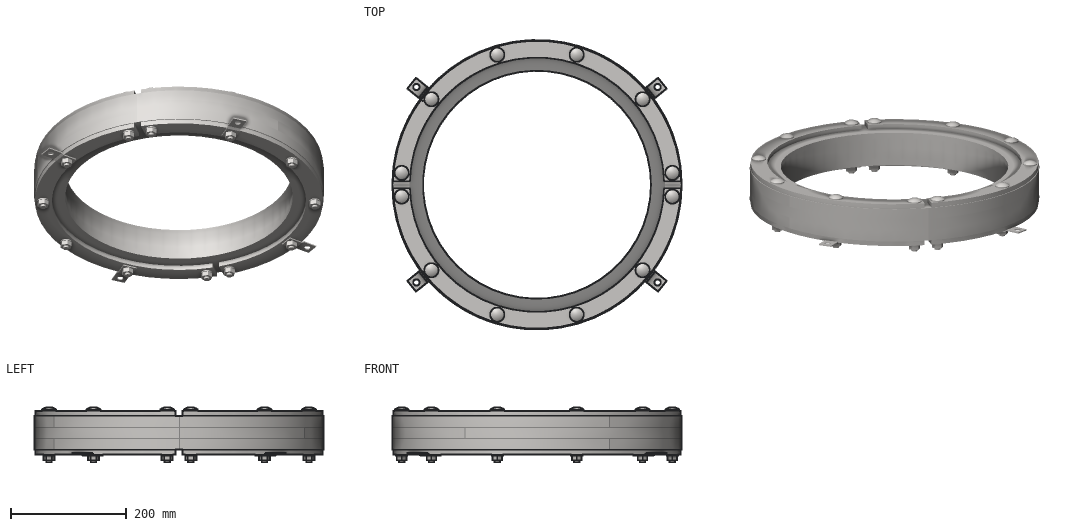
import cadquery as cq
import math

body_radius = 250.0
course_height = 19.5
course_joint_angles = [
    [0, 120, 180, 300],
    [0, 60, 180, 240],
    [0, 120, 180, 300],
]
body_height = course_height * len(course_joint_angles)

bore_radius = 196.5
strip_thickness = 1.0
strip_count = 23
block_inner_radius = bore_radius + strip_count * strip_thickness

clamp_radius = 248.5
clamp_thickness = 8.5
clamp_gap = 12.0
clamp_top = body_height + clamp_thickness
clamp_bottom = -clamp_thickness

bolt_circle_radius = 234.5
first_bolt_angle = 5
bolt_step = 34
bolts_per_half = 6
shank_diameter = 10.0
head_diameter = 24.5
head_rim_height = 2.0
head_height = 6.5
washer_diameter = 20.0
washer_thickness = 2.0
nut_width_across_flats = 17.0
nut_sides = 6
nut_height = 8.0
shank_projection = 13.5
shank_tip = clamp_bottom - shank_projection

tab_angle = first_bolt_angle + bolt_step
tab_angles = [tab_angle, 180 - tab_angle, 180 + tab_angle, 360 - tab_angle]
tab_width = 24.0
tab_thickness = washer_thickness
tab_inner_radius = 223.5
tab_outer_radius = 278.5
tab_joggle_start = 249.0
tab_joggle_length = 4.0
tab_joggle_rise = 3.0
tab_hole_diameter = 10.5
tab_hole_radius = 268.0


def ring(outer_radius, inner_radius, bottom, height):
    return (
        cq.Workplane("XY")
        .workplane(offset=bottom)
        .circle(outer_radius)
        .circle(inner_radius)
        .extrude(height)
    )


def polar_point(radius, angle):
    radians = math.radians(angle)
    return (radius * math.cos(radians), radius * math.sin(radians))


def block(start_angle, end_angle, bottom):
    """One curved block of a course."""
    middle_angle = (start_angle + end_angle) / 2
    return (
        cq.Workplane("XY")
        .workplane(offset=bottom)
        .moveTo(*polar_point(block_inner_radius, start_angle))
        .lineTo(*polar_point(body_radius, start_angle))
        .threePointArc(
            polar_point(body_radius, middle_angle),
            polar_point(body_radius, end_angle),
        )
        .lineTo(*polar_point(block_inner_radius, end_angle))
        .threePointArc(
            polar_point(block_inner_radius, middle_angle),
            polar_point(block_inner_radius, start_angle),
        )
        .close()
        .extrude(course_height)
    )


def course(bottom, joint_angles):
    """All blocks of one course, from joint to joint."""
    end_angles = joint_angles[1:] + [joint_angles[0] + 360]
    return [block(start, end, bottom) for start, end in zip(joint_angles, end_angles)]


def clamp(bottom):
    """A pair of half rings with parallel ends."""
    gap = (
        cq.Workplane("XY")
        .workplane(offset=bottom)
        .rect(2 * clamp_radius, clamp_gap)
        .extrude(clamp_thickness)
    )
    return ring(clamp_radius, block_inner_radius, bottom, clamp_thickness).cut(gap)


def bolt():
    """Domed bolt with its washer and hexagonal nut, on the Z axis."""
    head_radius = head_diameter / 2
    dome_height = head_height - head_rim_height
    dome_radius = (head_radius**2 + dome_height**2) / (2 * dome_height)
    mid_radius = head_radius / 2
    mid_height = head_height - dome_radius + math.sqrt(dome_radius**2 - mid_radius**2)
    shank_radius = shank_diameter / 2
    head_and_shank = (
        cq.Workplane("XZ")
        .moveTo(0, shank_tip)
        .lineTo(shank_radius, shank_tip)
        .lineTo(shank_radius, clamp_top)
        .lineTo(head_radius, clamp_top)
        .lineTo(head_radius, clamp_top + head_rim_height)
        .threePointArc((mid_radius, clamp_top + mid_height), (0, clamp_top + head_height))
        .close()
        .revolve(360, (0, 0, 0), (0, 1, 0))
    )
    washer = (
        cq.Workplane("XY")
        .workplane(offset=clamp_bottom)
        .circle(washer_diameter / 2)
        .extrude(-washer_thickness)
    )
    nut_width_across_corners = nut_width_across_flats / math.cos(math.pi / nut_sides)
    nut = (
        cq.Workplane("XY")
        .workplane(offset=clamp_bottom - washer_thickness)
        .transformed(rotate=(0, 0, 90))
        .polygon(nut_sides, nut_width_across_corners)
        .extrude(-nut_height)
    )
    return head_and_shank.union(washer).union(nut)


def tab():
    """Flat strip along X that steps up just outside the clamp."""
    low = clamp_bottom - tab_thickness
    high = low + tab_joggle_rise
    joggle_end = tab_joggle_start + tab_joggle_length
    strip = (
        cq.Workplane("XZ")
        .polyline(
            [
                (tab_inner_radius, low),
                (tab_joggle_start, low),
                (joggle_end, high),
                (tab_outer_radius, high),
                (tab_outer_radius, high + tab_thickness),
                (joggle_end, high + tab_thickness),
                (tab_joggle_start, low + tab_thickness),
                (tab_inner_radius, low + tab_thickness),
            ]
        )
        .close()
        .extrude(tab_width / 2, both=True)
    )
    hole = (
        cq.Workplane("XY")
        .workplane(offset=low)
        .center(tab_hole_radius, 0)
        .circle(tab_hole_diameter / 2)
        .extrude(tab_joggle_rise + tab_thickness)
    )
    return strip.cut(hole)


parts = []

for index in range(strip_count):
    strip_inner_radius = bore_radius + index * strip_thickness
    parts.append(ring(strip_inner_radius + strip_thickness, strip_inner_radius, 0, body_height))

for level, joint_angles in enumerate(course_joint_angles):
    parts.extend(course(level * course_height, joint_angles))

parts.append(clamp(clamp_bottom))
parts.append(clamp(body_height))

for half_start in (0, 180):
    for index in range(bolts_per_half):
        bolt_angle = half_start + first_bolt_angle + index * bolt_step
        parts.append(bolt().translate((*polar_point(bolt_circle_radius, bolt_angle), 0)))

for angle in tab_angles:
    parts.append(tab().rotate((0, 0, 0), (0, 0, 1), angle))

solids = [part.val() for part in parts]
result = cq.Workplane("XY").newObject([solids[0].fuse(*solids[1:])])